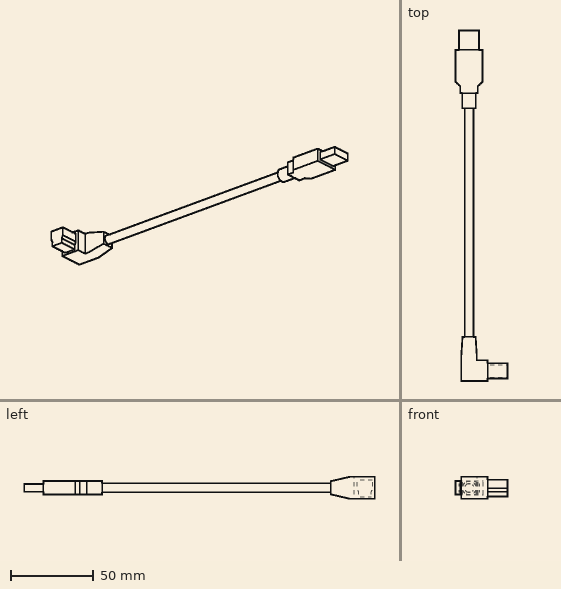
import cadquery as cq

overall_length = 213.0
cable_diameter = 5.5

shell_width = 12.3
shell_height = 5.0
shell_length = 11.7
grip_width = 16.5
grip_height = 8.3
grip_body_length = 19.4
grip_taper_length = 2.8
grip_neck_width = 10.9
grip_neck_length = 4.3
relief_diameter = 8.3
relief_length = 9.2

elbow_width = 9.5
elbow_height = 13.5
elbow_length = 15.3
arm_length = 12.8
arm_reach = 11.3
boot_length = 11.5
boot_end_size = 8.0
mini_tip_x = 23.5
mini_center_y = 6.2
mini_width = 9.4
mini_top_z = 5.0
mini_bottom_z = -5.3
mini_step_top_z = -0.5
mini_step_bottom_z = -2.3
mini_step_inset = 0.9

shell_base_y = overall_length - shell_length
grip_taper_y = shell_base_y - grip_body_length
grip_neck_y = grip_taper_y - grip_taper_length
relief_base_y = grip_neck_y - grip_neck_length
cable_end_y = relief_base_y - relief_length
cable_start_y = elbow_length + boot_length


def rod(diameter, start_y, end_y):
    """Round bar along Y."""
    start = cq.Workplane("XZ", origin=(0, start_y, 0))
    return start.circle(diameter / 2).extrude(start_y - end_y)


def make_shell():
    block = cq.Workplane("XY").box(shell_width, shell_length, shell_height)
    return block.translate((0, shell_base_y + shell_length / 2, 0))


def make_grip():
    half_width = grip_width / 2
    half_neck = grip_neck_width / 2
    body = (
        cq.Workplane("XY")
        .polyline([
            (-half_width, shell_base_y),
            (half_width, shell_base_y),
            (half_width, grip_taper_y),
            (half_neck, grip_neck_y),
            (half_neck, relief_base_y),
            (-half_neck, relief_base_y),
            (-half_neck, grip_neck_y),
            (-half_width, grip_taper_y),
        ])
        .close()
        .extrude(grip_height / 2, both=True)
    )
    return body.union(rod(relief_diameter, cable_end_y, relief_base_y))


def make_elbow():
    half_width = elbow_width / 2
    body = (
        cq.Workplane("XY")
        .polyline([
            (-half_width, 0),
            (arm_reach, 0),
            (arm_reach, arm_length),
            (half_width, arm_length),
            (half_width, elbow_length),
            (-half_width, elbow_length),
        ])
        .close()
        .extrude(elbow_height / 2, both=True)
    )
    boot = (
        cq.Workplane("XZ", origin=(0, elbow_length, 0))
        .rect(elbow_width, elbow_height)
        .workplane(offset=-boot_length)
        .rect(boot_end_size, boot_end_size)
        .loft(ruled=True)
    )
    return body.union(boot)


def make_mini_plug():
    """Wide upper part stepping through sloped sides to a narrower lower part."""
    half_top = mini_width / 2
    half_bottom = half_top - mini_step_inset
    return (
        cq.Workplane("YZ", origin=(arm_reach, mini_center_y, 0))
        .polyline([
            (-half_top, mini_top_z),
            (half_top, mini_top_z),
            (half_top, mini_step_top_z),
            (half_bottom, mini_step_bottom_z),
            (half_bottom, mini_bottom_z),
            (-half_bottom, mini_bottom_z),
            (-half_bottom, mini_step_bottom_z),
            (-half_top, mini_step_top_z),
        ])
        .close()
        .extrude(mini_tip_x - arm_reach)
    )


shell = make_shell()
grip = make_grip()
cable = rod(cable_diameter, cable_start_y, cable_end_y)
elbow = make_elbow()
mini_plug = make_mini_plug()

result = cq.Compound.makeCompound([
    shell.val(),
    grip.val(),
    cable.val(),
    elbow.val(),
    mini_plug.val(),
])